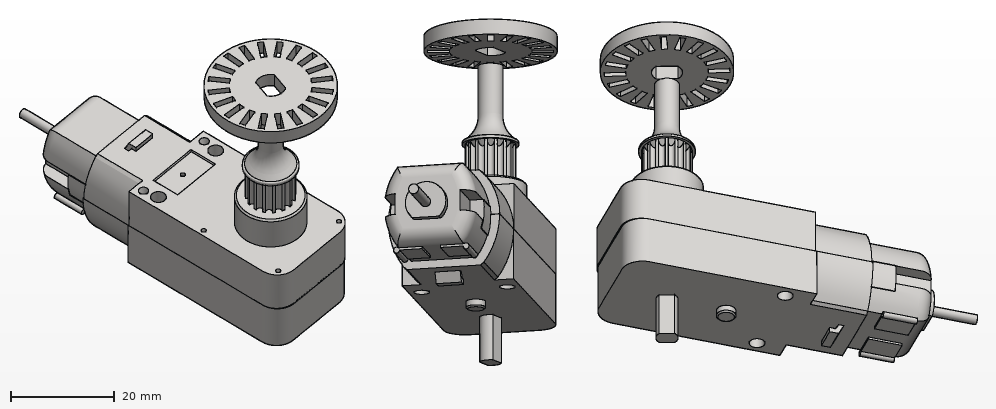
import cadquery as cq
import math

GEARMOTOR_TURN = -3.1

TOP_Z = 9.1
BOTTOM_Z = -10.0
HALF_WIDTH = 11.05
COLLAR_START_X = -37.9
GEARBOX_START_X = -26.5
GEARBOX_END_X = 11.7
CORNER_RADIUS = 4.25
LOWER_SHIFT = -0.2
UPPER_FLAT_HALF_WIDTH = 7.0
UPPER_ARC_RADIUS = 12.9
LOWER_FLAT_HALF_WIDTH = 7.3
LOWER_ARC_RADIUS = 15.9
BEVEL_WIDTH = 0.7
BEVEL_HEIGHT = 0.5

CLIP_WIDTH = 5.0
CLIP_START_X = -34.9
CLIP_HEIGHT = 2.05
CLIP_HOOK_THICKNESS = 1.0
CLIP_LEAN = 1.05
CLIP_HOOK_LENGTH = 1.8
CLIP_BEND_LENGTH = 0.7

MOUNT_HOLE_DIAMETER = 3.0
MOUNT_HOLE_X = -21.2
MOUNT_HOLE_Y = 8.5
DIMPLE_DIAMETER = 2.0
DIMPLE_X = -24.5
DIMPLE_Y = 9.0
DIMPLE_DEPTH = 3.0
CORNER_HOLE_DIAMETER = 1.0
CORNER_HOLE_DEPTH = 1.9
CORNER_HOLES = [(-8.55, 9.85), (9.6, 9.0)]
LABEL_LENGTH = 6.2
LABEL_WIDTH = 11.2
LABEL_X = -21.9
LABEL_DEPTH = 0.3
LABEL_DRAFT = 35
LABEL_HOLE_DIAMETER = 1.0
LABEL_HOLE_Y = -0.45
LABEL_HOLE_DEPTH = 1.1

PEG_DIAMETER = 3.8
PEG_X = -11.8
PEG_HEIGHT = 1.45
PEG_CHAMFER = 0.3

MOTOR_TOP_Z = 7.6
MOTOR_BOTTOM_Z = -8.4
MOTOR_HALF_WIDTH = 9.15
MOTOR_FLAT_HALF_WIDTH = 6.4
MOTOR_START_X = -51.6
MOTOR_ROUNDING = 2.95
MOTOR_AXIS_Z = -0.8
BOSS_DIAMETER = 8.0
BOSS_START_X = -53.1
BOSS_FLAT_DEPTH = 3.0
MOTOR_SHAFT_DIAMETER = 2.0
NOTCH_TOP_Z = 1.6
NOTCH_BOTTOM_Z = -2.5
NOTCH_END_X = -43.5
NOTCH_HALF_WIDTH = 6.4
SIDE_PAD_THICKNESS = 0.15
SIDE_PAD_BOTTOM_Z = -4.2
TERMINAL_START_X = -48.45
TERMINAL_END_X = -41.6
TERMINAL_DIAMETER = 1.2
TERMINAL_Y = 6.9
TERMINAL_Z = -8.85
TERMINAL_STRIP_INNER_Y = 1.8

SHAFT_DIAMETER = 4.3
SHAFT_ACROSS_FLATS = 3.1
SHAFT_BOTTOM_Z = -19.0
FLAT_ANGLE = -22.0

HUB_DIAMETER = 14.0
HUB_BOTTOM_Z = 9.55
HUB_TOP_Z = 16.65
HUB_CHAMFER = 0.4
FLANGE_DIAMETER = 11.0
FLANGE_BOTTOM_Z = 24.45
FLANGE_TOP_Z = 25.15
FLANGE_ROUNDING = 0.3
POST_DIAMETER = 4.85
POST_TOP_Z = 40.1
FLARE_TOP_Z = 30.1
FLARE_RADIUS = 5.75
SPLINE_DIAMETER = 9.85
SPLINE_COUNT = 16
GROOVE_DIAMETER = 1.4
GROOVE_CENTER_RADIUS = 4.7
GROOVE_RUNOUT_HEIGHT = 1.2

DISC_DIAMETER = 25.75
DISC_BOTTOM_Z = 43.1
DISC_TOP_Z = 46.1
DISC_BORE_DIAMETER = 6.0
DISC_BORE_ACROSS_FLATS = 4.2
SLOT_COUNT = 20
SLOT_INNER_RADIUS = 7.95
SLOT_OUTER_RADIUS = 12.1
SLOT_WIDTH = 1.2
FIRST_SLOT_ANGLE = 10.8

OVERALL_LENGTH = 75.7
TURN = math.radians(abs(GEARMOTOR_TURN))
TIP_REACH = OVERALL_LENGTH - DISC_DIAMETER / 2
MOTOR_SHAFT_START_X = -(TIP_REACH - MOTOR_SHAFT_DIAMETER / 2 * math.sin(TURN)) / math.cos(TURN)


def box_between(x0, x1, y0, y1, z0, z1):
    return cq.Workplane("XY").box(x1 - x0, y1 - y0, z1 - z0, centered=False).translate((x0, y0, z0))


def cylinder(diameter, x, y, z0, z1):
    return cq.Workplane("XY", origin=(x, y, z0)).circle(diameter / 2).extrude(z1 - z0)


def cylinder_along_x(diameter, x0, x1, y, z):
    return cq.Workplane("YZ", origin=(x0, y, z)).circle(diameter / 2).extrude(x1 - x0)


def double_flat_bar(diameter, across_flats, z0, z1):
    """Upright round bar with two opposite flats, turned to the flat angle."""
    bar = cylinder(diameter, 0, 0, z0, z1)
    slab = cq.Workplane("XY", origin=(0, 0, z0)).rect(2 * diameter, across_flats).extrude(z1 - z0)
    return bar.intersect(slab).rotate((0, 0, 0), (0, 0, 1), FLAT_ANGLE)


def turned(body):
    return body.rotate((0, 0, 0), (0, 0, 1), GEARMOTOR_TURN)


def gearbox_block(z0, z1):
    block = box_between(GEARBOX_START_X, GEARBOX_END_X, -HALF_WIDTH, HALF_WIDTH, z0, z1)
    return block.edges("|Z and >X").fillet(CORNER_RADIUS)


def clip(base_z, direction):
    """Leaning hook that rises from base_z; direction is 1 for up and -1 for down."""
    hook_start_x = CLIP_START_X + CLIP_LEAN
    hook_end_x = hook_start_x + CLIP_HOOK_LENGTH
    tip_z = base_z + direction * CLIP_HEIGHT
    under_z = tip_z - direction * CLIP_HOOK_THICKNESS
    points = [
        (CLIP_START_X, base_z),
        (hook_start_x, tip_z),
        (hook_end_x, tip_z),
        (hook_end_x, under_z),
        (hook_start_x + CLIP_BEND_LENGTH, under_z),
        (hook_start_x, base_z),
    ]
    return cq.Workplane("XZ").polyline(points).close().extrude(CLIP_WIDTH / 2, both=True)


def mount_holes():
    centers = [(MOUNT_HOLE_X, MOUNT_HOLE_Y), (MOUNT_HOLE_X, -MOUNT_HOLE_Y)]
    bottom = cq.Workplane("XY", origin=(0, 0, BOTTOM_Z))
    return bottom.pushPoints(centers).circle(MOUNT_HOLE_DIAMETER / 2).extrude(TOP_Z - BOTTOM_Z)


def collar(flat_z, flat_half_width, arc_radius):
    """Half barrel around the motor end, from the parting plane to a flat at flat_z with bevelled edges."""
    upward = 1 if flat_z > 0 else -1
    bevel_y = flat_half_width + BEVEL_WIDTH
    bevel_z = flat_z - upward * BEVEL_HEIGHT
    return (
        cq.Workplane("YZ", origin=(COLLAR_START_X, 0, 0))
        .moveTo(-HALF_WIDTH, 0)
        .lineTo(HALF_WIDTH, 0)
        .radiusArc((bevel_y, bevel_z), -upward * arc_radius)
        .lineTo(flat_half_width, flat_z)
        .lineTo(-flat_half_width, flat_z)
        .lineTo(-bevel_y, bevel_z)
        .radiusArc((-HALF_WIDTH, 0), -upward * arc_radius)
        .close()
        .extrude(GEARBOX_START_X - COLLAR_START_X)
    )


def conical_hole(diameter, depth, x, y):
    cone = cq.Solid.makeCone(0, diameter / 2, depth, cq.Vector(x, y, TOP_Z - depth))
    return cq.Workplane(cone)


def upper_housing():
    barrel = collar(TOP_Z, UPPER_FLAT_HALF_WIDTH, UPPER_ARC_RADIUS)
    housing = gearbox_block(0, TOP_Z).union(barrel).union(clip(TOP_Z, 1))
    label = (
        cq.Workplane("XY", origin=(LABEL_X, 0, TOP_Z))
        .rect(LABEL_LENGTH, LABEL_WIDTH)
        .extrude(-LABEL_DEPTH, taper=LABEL_DRAFT)
    )
    housing = housing.cut(label).cut(mount_holes())
    housing = housing.cut(
        cylinder(LABEL_HOLE_DIAMETER, LABEL_X, LABEL_HOLE_Y, TOP_Z - LABEL_HOLE_DEPTH, TOP_Z)
    )
    for side in (1, -1):
        housing = housing.cut(conical_hole(DIMPLE_DIAMETER, DIMPLE_DEPTH, DIMPLE_X, side * DIMPLE_Y))
        for x, y in CORNER_HOLES:
            housing = housing.cut(conical_hole(CORNER_HOLE_DIAMETER, CORNER_HOLE_DEPTH, x, side * y))
    return housing


def lower_housing():
    barrel = collar(BOTTOM_Z, LOWER_FLAT_HALF_WIDTH, LOWER_ARC_RADIUS)
    peg = cylinder(PEG_DIAMETER, PEG_X, 0, BOTTOM_Z - PEG_HEIGHT, BOTTOM_Z).faces("<Z").chamfer(PEG_CHAMFER)
    housing = gearbox_block(BOTTOM_Z, 0).union(barrel).union(clip(BOTTOM_Z, -1)).union(peg)
    return housing.translate((LOWER_SHIFT, 0, 0)).cut(mount_holes())


def can_bar(start_x, bulge):
    """Bar with the motor's flat-topped round-sided section, its sides pushed out by bulge."""
    middle_z = (MOTOR_TOP_Z + MOTOR_BOTTOM_Z) / 2
    flat_y = MOTOR_FLAT_HALF_WIDTH + bulge
    side_y = MOTOR_HALF_WIDTH + bulge
    return (
        cq.Workplane("YZ", origin=(start_x, 0, 0))
        .moveTo(-flat_y, MOTOR_BOTTOM_Z)
        .lineTo(flat_y, MOTOR_BOTTOM_Z)
        .threePointArc((side_y, middle_z), (flat_y, MOTOR_TOP_Z))
        .lineTo(-flat_y, MOTOR_TOP_Z)
        .threePointArc((-side_y, middle_z), (-flat_y, MOTOR_BOTTOM_Z))
        .close()
        .extrude(COLLAR_START_X - start_x)
    )


def motor():
    can = can_bar(MOTOR_START_X, 0).faces("<X").edges().fillet(MOTOR_ROUNDING)
    for y0, y1 in ((-MOTOR_HALF_WIDTH, -NOTCH_HALF_WIDTH), (NOTCH_HALF_WIDTH, MOTOR_HALF_WIDTH)):
        can = can.cut(box_between(MOTOR_START_X, NOTCH_END_X, y0, y1, NOTCH_BOTTOM_Z, NOTCH_TOP_Z))

    side_pads = can_bar(NOTCH_END_X, SIDE_PAD_THICKNESS).intersect(
        box_between(NOTCH_END_X, COLLAR_START_X, -HALF_WIDTH, HALF_WIDTH, SIDE_PAD_BOTTOM_Z, NOTCH_TOP_Z)
    )
    can = can.union(side_pads)

    boss = cylinder_along_x(BOSS_DIAMETER, BOSS_START_X, MOTOR_START_X, 0, MOTOR_AXIS_Z)
    boss_flat_z = MOTOR_AXIS_Z - BOSS_FLAT_DEPTH
    boss = boss.intersect(
        box_between(BOSS_START_X, MOTOR_START_X, -BOSS_DIAMETER, BOSS_DIAMETER, boss_flat_z, BOSS_DIAMETER)
    )
    shaft = cylinder_along_x(MOTOR_SHAFT_DIAMETER, MOTOR_SHAFT_START_X, BOSS_START_X, 0, MOTOR_AXIS_Z)
    body = can.union(boss).union(shaft)

    strip = box_between(
        TERMINAL_START_X, TERMINAL_END_X, TERMINAL_STRIP_INNER_Y, TERMINAL_Y, TERMINAL_Z, MOTOR_BOTTOM_Z
    )
    for side in (1, -1):
        pin = cylinder_along_x(
            TERMINAL_DIAMETER, TERMINAL_START_X, TERMINAL_END_X, side * TERMINAL_Y, TERMINAL_Z
        )
        body = body.union(pin).union(strip if side == 1 else strip.mirror("XZ"))
    return body


def output_shaft():
    return double_flat_bar(SHAFT_DIAMETER, SHAFT_ACROSS_FLATS, SHAFT_BOTTOM_Z, HUB_BOTTOM_Z)


def spindle():
    hub_radius = HUB_DIAMETER / 2
    spline_radius = SPLINE_DIAMETER / 2
    flange_radius = FLANGE_DIAMETER / 2
    post_radius = POST_DIAMETER / 2
    cos_45 = math.cos(math.radians(45))
    flare_end_radius = post_radius + FLARE_RADIUS * (1 - cos_45)
    flare_end_z = FLARE_TOP_Z - FLARE_RADIUS * cos_45
    cone_end_radius = flare_end_radius + flare_end_z - FLANGE_TOP_Z
    profile = (
        cq.Workplane("XZ")
        .moveTo(0, HUB_BOTTOM_Z)
        .lineTo(hub_radius, HUB_BOTTOM_Z)
        .lineTo(hub_radius, HUB_TOP_Z - HUB_CHAMFER)
        .lineTo(hub_radius - HUB_CHAMFER, HUB_TOP_Z)
        .lineTo(spline_radius, HUB_TOP_Z)
        .lineTo(spline_radius, FLANGE_BOTTOM_Z)
        .lineTo(flange_radius, FLANGE_BOTTOM_Z)
        .lineTo(flange_radius, FLANGE_TOP_Z - FLANGE_ROUNDING)
        .radiusArc((flange_radius - FLANGE_ROUNDING, FLANGE_TOP_Z), -FLANGE_ROUNDING)
        .lineTo(cone_end_radius, FLANGE_TOP_Z)
        .lineTo(flare_end_radius, flare_end_z)
        .radiusArc((post_radius, FLARE_TOP_Z), FLARE_RADIUS)
        .lineTo(post_radius, POST_TOP_Z)
        .lineTo(0, POST_TOP_Z)
        .close()
    )
    body = profile.revolve(360, (0, 0, 0), (0, 1, 0))
    groove = cylinder(GROOVE_DIAMETER, GROOVE_CENTER_RADIUS, 0, HUB_TOP_Z, FLANGE_BOTTOM_Z)
    for index in range(SPLINE_COUNT):
        body = body.cut(groove.rotate((0, 0, 0), (0, 0, 1), (index + 0.5) * 360 / SPLINE_COUNT))
    groove_floor_radius = GROOVE_CENTER_RADIUS - GROOVE_DIAMETER / 2
    runout_start = cq.Vector(0, 0, FLANGE_BOTTOM_Z - GROOVE_RUNOUT_HEIGHT)
    runout = cq.Solid.makeCone(groove_floor_radius, spline_radius, GROOVE_RUNOUT_HEIGHT, runout_start)
    return body.union(cq.Workplane(runout))


def encoder_disc():
    disc = cylinder(DISC_DIAMETER, 0, 0, DISC_BOTTOM_Z, DISC_TOP_Z)
    disc = disc.cut(double_flat_bar(DISC_BORE_DIAMETER, DISC_BORE_ACROSS_FLATS, DISC_BOTTOM_Z, DISC_TOP_Z))
    half_slot = SLOT_WIDTH / 2
    slot = box_between(SLOT_INNER_RADIUS, SLOT_OUTER_RADIUS, -half_slot, half_slot, DISC_BOTTOM_Z, DISC_TOP_Z)
    for index in range(SLOT_COUNT):
        disc = disc.cut(slot.rotate((0, 0, 0), (0, 0, 1), FIRST_SLOT_ANGLE + index * 360 / SLOT_COUNT))
    return disc


shaft = output_shaft()
motor_body = turned(motor())
upper_body = turned(upper_housing()).cut(shaft)
lower_body = turned(lower_housing()).cut(shaft).cut(motor_body)
spindle_body = spindle()
disc_body = encoder_disc()

result = cq.Compound.makeCompound(
    [upper_body.val(), lower_body.val(), motor_body.val(), shaft.val(), spindle_body.val(), disc_body.val()]
)